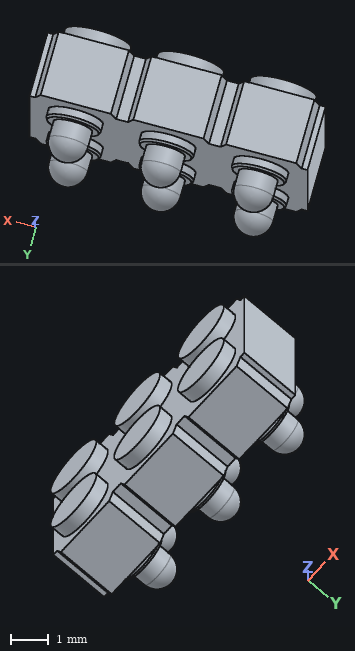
import cadquery as cq


columns = 3
rows = 2
housing_length = 7.62
pitch = housing_length / columns

housing_height = rows * pitch
housing_depth = 1.8
notch_depth = 0.4
notch_floor_width = 0.32
notch_mouth_width = 0.62

overall_depth = 3.48
pad_diameter = 1.83
pad_thickness = 0.41
barrel_diameter = 1.49
barrel_projection = 0.28
barrel_chamfer_length = 0.07
barrel_chamfer_width = 0.04
plunger_diameter = 1.07

pad_radius = pad_diameter / 2
barrel_radius = barrel_diameter / 2
plunger_radius = plunger_diameter / 2
barrel_end = housing_depth + barrel_projection
plunger_tip = overall_depth - pad_thickness
dome_start = plunger_tip - plunger_radius

contact_positions = [
    ((column - (columns - 1) / 2) * pitch, (row - (rows - 1) / 2) * pitch)
    for column in range(columns)
    for row in range(rows)
]


def extrude_through_housing(sketch):
    """Extrude an outline on the XZ plane towards +Y over the full housing depth."""
    return sketch.extrude(-housing_depth)


def make_notch(x, side):
    """Tapered notch centred at x, in the top edge (side = 1) or the bottom edge (side = -1)."""
    mouth_z = side * housing_height / 2
    floor_z = side * (housing_height / 2 - notch_depth)
    outline = cq.Workplane("XZ").polyline([
        (x - notch_floor_width / 2, floor_z),
        (x + notch_floor_width / 2, floor_z),
        (x + notch_mouth_width / 2, mouth_z),
        (x - notch_mouth_width / 2, mouth_z),
    ]).close()
    return extrude_through_housing(outline)


def make_housing():
    """Block with a through hole for each pin barrel and notches bounding every column."""
    block = extrude_through_housing(cq.Workplane("XZ").rect(housing_length, housing_height))
    hole_outlines = cq.Workplane("XZ").pushPoints(contact_positions).circle(barrel_radius)
    block = block.cut(extrude_through_housing(hole_outlines))
    for boundary in range(columns + 1):
        notch_x = boundary * pitch - housing_length / 2
        for side in (1, -1):
            block = block.cut(make_notch(notch_x, side))
    return block


def make_pin(x, z):
    """Pad, barrel and domed plunger turned as one piece about an axis parallel to Y."""
    half_profile = (
        cq.Workplane("YZ")
        .moveTo(-pad_thickness, 0)
        .lineTo(-pad_thickness, pad_radius)
        .lineTo(0, pad_radius)
        .lineTo(0, barrel_radius)
        .lineTo(barrel_end - barrel_chamfer_length, barrel_radius)
        .lineTo(barrel_end, barrel_radius - barrel_chamfer_width)
        .lineTo(barrel_end, plunger_radius)
        .lineTo(dome_start, plunger_radius)
        .radiusArc((plunger_tip, 0), plunger_radius)
        .close()
    )
    return half_profile.revolve(360, (0, 0, 0), (1, 0, 0)).translate((x, 0, z))


housing = make_housing()
pins = [make_pin(x, z) for x, z in contact_positions]

result = cq.Compound.makeCompound([housing.val(), *[pin.val() for pin in pins]])